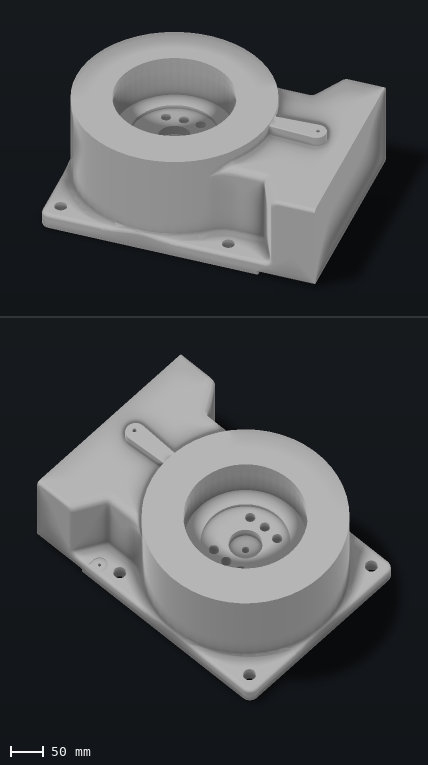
import cadquery as cq
import math

plate_half = 160.5
plate_thickness = 26.0
plate_corner_radius = 15.0
rough_half = plate_half + 20.0
edge_radius = 6.6
foot_radius = 8.0

drum_radius = 158.0
total_height = 173.0
drum_shoulder_radius = 6.0

block_end_x = 283.5
block_top_z = 150.0
neck_half_width = 109.0
neck_top_radius = 13.0
neck_blend_radius = 60.0
flare_start_x = 183.6
flare_angle = math.radians(60.0)

relief_start_x = 192.0
relief_height = 5.0
relief_corner_radius = 1.0
relief_edge_radius = 3.0

bore_radius = 94.5
bore_floor_z = 102.0
recess_radius = 68.5
recess_floor_z = 96.0
hub_radius = 26.0
hub_floor_z = 80.0
axis_hole_radius = 5.7
cable_hole_radius = 8.0
cable_hole_points = [(-28.0, 40.2), (0.0, 42.7), (28.0, 40.2)]

mount_hole_radius = 10.0
mount_hole_offset = 135.2

rib_tip_x = 229.0
rib_tip_radius = 16.0
rib_root_x = drum_radius - 10.0
rib_root_half_width = 12.2
rib_top_z = 169.4
rib_top_radius = 2.0
rib_root_radius = 3.0
rib_hole_x = 231.5
rib_hole_radius = 3.2
rib_hole_depth = 10.0

pad_x = 167.7
pad_y = 145.2
pad_radius = 12.4
pad_depth = 1.5
pad_hole_radius = 2.5
pad_hole_depth = 10.0

TOLERANCE = 0.01


def cylinder(radius, z_low, z_high, x=0.0, y=0.0):
    """Vertical cylinder between two heights."""
    return cq.Workplane("XY", origin=(x, y, z_low)).circle(radius).extrude(z_high - z_low)


def slab(half_width, height):
    """Slab that reaches half_width from the drum axis on three sides and ends with the block."""
    return (
        cq.Workplane("XY")
        .box(half_width + block_end_x, 2 * half_width, height, centered=(False, True, False))
        .translate((-half_width, 0, 0))
    )


def edges_where(part, is_wanted):
    """Edges of a part whose midpoint and bounding box satisfy a condition."""
    return [edge for edge in part.val().Edges() if is_wanted(edge.positionAt(0.5), edge.BoundingBox())]


def round_edges(part, radius, is_wanted):
    """Fillet the edges of a one-solid part that satisfy a condition."""
    solid = part.val().Solids()[0]
    return cq.Workplane(solid.fillet(radius, edges_where(part, is_wanted)))


def is_level(box, height):
    """True if an edge lies in the horizontal plane at the given height."""
    return abs(box.zmin - height) < TOLERANCE and abs(box.zmax - height) < TOLERANCE


def make_block():
    """Oversize housing block whose neck walls blend tangentially into the drum."""
    blend_distance = drum_radius + neck_blend_radius
    blend_y = neck_half_width + neck_blend_radius
    blend_x = math.sqrt(blend_distance**2 - blend_y**2)
    touch_scale = drum_radius / blend_distance
    touch_point = (blend_x * touch_scale, blend_y * touch_scale)
    start_angle = math.pi + math.atan2(blend_y, blend_x)
    middle_angle = (start_angle + 1.5 * math.pi) / 2
    middle_point = (
        blend_x + neck_blend_radius * math.cos(middle_angle),
        blend_y + neck_blend_radius * math.sin(middle_angle),
    )
    flare_end_x = flare_start_x + (rough_half - neck_half_width) / math.tan(flare_angle)
    half = (
        cq.Workplane("XY")
        .lineTo(*touch_point)
        .threePointArc(middle_point, (blend_x, neck_half_width))
        .lineTo(flare_start_x, neck_half_width)
        .lineTo(flare_end_x, rough_half)
        .lineTo(block_end_x, rough_half)
        .lineTo(block_end_x, 0)
        .close()
        .extrude(block_top_z)
    )
    block = half.union(half.mirror("XZ"))

    def is_flare_corner(middle, box):
        upright = box.zmax - box.zmin > plate_thickness
        return upright and abs(middle.x - flare_start_x) < TOLERANCE

    def is_neck_top(middle, box):
        outside = abs(middle.y) > neck_half_width - TOLERANCE
        on_rough_side = abs(middle.y) > rough_half - TOLERANCE
        return is_level(box, block_top_z) and outside and not on_rough_side

    block = round_edges(block, foot_radius, is_flare_corner)
    return round_edges(block, neck_top_radius, is_neck_top)


def make_body():
    """Plate, block and drum with all blends between them and rounded outer edges."""
    drum = cylinder(drum_radius, 0, total_height).rotate((0, 0, 0), (0, 0, 1), 180)
    body = slab(rough_half, plate_thickness).union(make_block()).union(drum).clean()

    def is_foot(middle, box):
        on_rough_side = max(abs(middle.y), -middle.x) > rough_half - TOLERANCE
        at_end = middle.x > block_end_x - TOLERANCE
        return is_level(box, plate_thickness) and not on_rough_side and not at_end

    def is_drum_shoulder(middle, box):
        on_drum = abs(math.hypot(middle.x, middle.y) - drum_radius) < TOLERANCE
        return is_level(box, block_top_z) and on_drum

    body = round_edges(body, drum_shoulder_radius, is_drum_shoulder)
    body = round_edges(body, foot_radius, is_foot)

    outline = slab(plate_half, total_height).edges("|Z and <X").fillet(plate_corner_radius)
    body = body.intersect(outline)

    def is_outer_edge(middle, box):
        on_side = max(abs(middle.y), -middle.x) > plate_half - TOLERANCE
        on_corner = is_level(box, plate_thickness) and math.hypot(middle.x, middle.y) > plate_half
        on_corner = on_corner and middle.x < plate_corner_radius - plate_half
        return (on_side or on_corner) and box.zmin > TOLERANCE and middle.x < block_end_x - TOLERANCE

    return round_edges(body, edge_radius, is_outer_edge)


def cut_relief(body):
    """Raise the underside of the free end and round its lower side edges."""
    relief_length = block_end_x - relief_start_x
    relief = cq.Workplane("XY").box(
        relief_length, 2 * plate_half, relief_height, centered=(False, True, False)
    )
    relief = relief.edges("<X and >Z").fillet(relief_corner_radius)
    body = body.cut(relief.translate((relief_start_x, 0, 0)))

    def is_lower_side(middle, box):
        on_side = abs(middle.y) > plate_half - TOLERANCE
        past_step = box.xmin > relief_start_x - TOLERANCE and middle.x < block_end_x - TOLERANCE
        return on_side and past_step and box.zmax < relief_height + relief_corner_radius

    return round_edges(body, relief_edge_radius, is_lower_side)


def cut_holes(body):
    """Stepped bore on the drum axis, its through holes and the plate mounting holes."""
    for radius, floor_z in (
        (bore_radius, bore_floor_z),
        (recess_radius, recess_floor_z),
        (hub_radius, hub_floor_z),
        (axis_hole_radius, 0),
    ):
        body = body.cut(cylinder(radius, floor_z, total_height))
    for side in (-1, 1):
        for x, y in cable_hole_points:
            body = body.cut(cylinder(cable_hole_radius, 0, total_height, x, side * y))
        for x in (-mount_hole_offset, mount_hole_offset):
            body = body.cut(cylinder(mount_hole_radius, 0, total_height, x, side * mount_hole_offset))
    return body


def add_rib(body):
    """Tapered rib with a round tip, running from the drum along the block top."""
    taper = math.asin((rib_tip_radius - rib_root_half_width) / (rib_tip_x - rib_root_x))
    tangent_x = rib_tip_x - rib_tip_radius * math.sin(taper)
    tangent_y = rib_tip_radius * math.cos(taper)
    rib = (
        cq.Workplane("XY", origin=(0, 0, block_top_z))
        .moveTo(rib_root_x, -rib_root_half_width)
        .lineTo(tangent_x, -tangent_y)
        .threePointArc((rib_tip_x + rib_tip_radius, 0), (tangent_x, tangent_y))
        .lineTo(rib_root_x, rib_root_half_width)
        .close()
        .extrude(rib_top_z - block_top_z)
    )
    rib = rib.edges(">Z").edges("not <X").fillet(rib_top_radius)
    body = body.union(rib)

    def is_root(middle, box):
        on_drum = abs(math.hypot(middle.x, middle.y) - drum_radius) < TOLERANCE
        upright = block_top_z < box.zmin and box.zmax - box.zmin > rib_root_radius
        return on_drum and upright and 0 < middle.x and TOLERANCE < abs(middle.y) < rib_tip_radius

    body = round_edges(body, rib_root_radius, is_root)
    return body.cut(cylinder(rib_hole_radius, rib_top_z - rib_hole_depth, rib_top_z, rib_hole_x, 0))


def cut_pad(body):
    """Shallow round-ended recess at the plate edge with a blind hole."""
    pad_floor_z = plate_thickness - pad_depth
    pad = cylinder(pad_radius, pad_floor_z, block_top_z, pad_x, pad_y)
    mouth = cq.Workplane("XY", origin=(pad_x, pad_y, pad_floor_z)).box(
        2 * pad_radius, plate_half - pad_y, block_top_z - pad_floor_z, centered=(True, False, False)
    )
    body = body.cut(pad.union(mouth))
    return body.cut(cylinder(pad_hole_radius, pad_floor_z - pad_hole_depth, pad_floor_z, pad_x, pad_y))


body = add_rib(cut_relief(make_body()))
result = cut_pad(cut_holes(body))